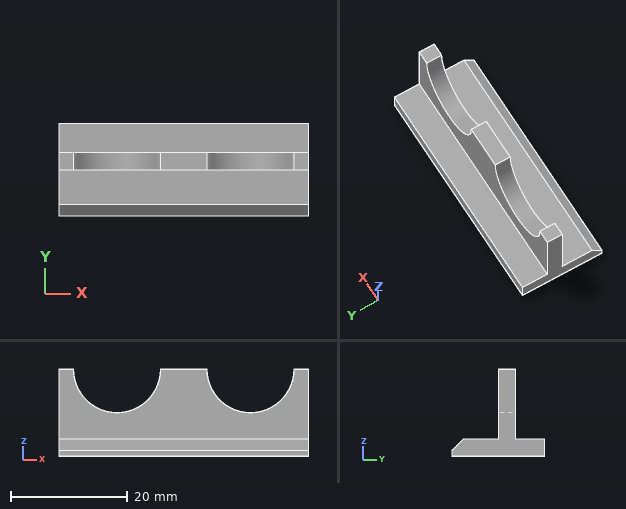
import cadquery as cq

length = 43.0
depth = 16.0
height = 15.0

base_thickness = 3.0
wall_thickness = 3.0
rear_ledge = 5.0
front_chamfer = 2.0

cradle_radius = 7.5
cradle_spacing = 23.0

wall_back = depth / 2 - rear_ledge
wall_center = wall_back - wall_thickness / 2


def make_base():
    """Flat base with its upper front edge chamfered."""
    base = cq.Workplane("XY").box(length, depth, base_thickness, centered=(True, True, False))
    return base.faces("<Y").edges(">Z").chamfer(front_chamfer)


def make_wall():
    """Upright wall along the full length, rising from the underside of the base."""
    wall = cq.Workplane("XY").box(length, wall_thickness, height, centered=(True, True, False))
    return wall.translate((0, wall_center, 0))


def make_cradles():
    """Two cylinders along Y, centered on the top edge of the wall."""
    return (
        cq.Workplane("XZ")
        .pushPoints([(side * cradle_spacing / 2, height) for side in (-1, 1)])
        .circle(cradle_radius)
        .extrude(depth / 2, both=True)
    )


result = make_base().union(make_wall()).cut(make_cradles())